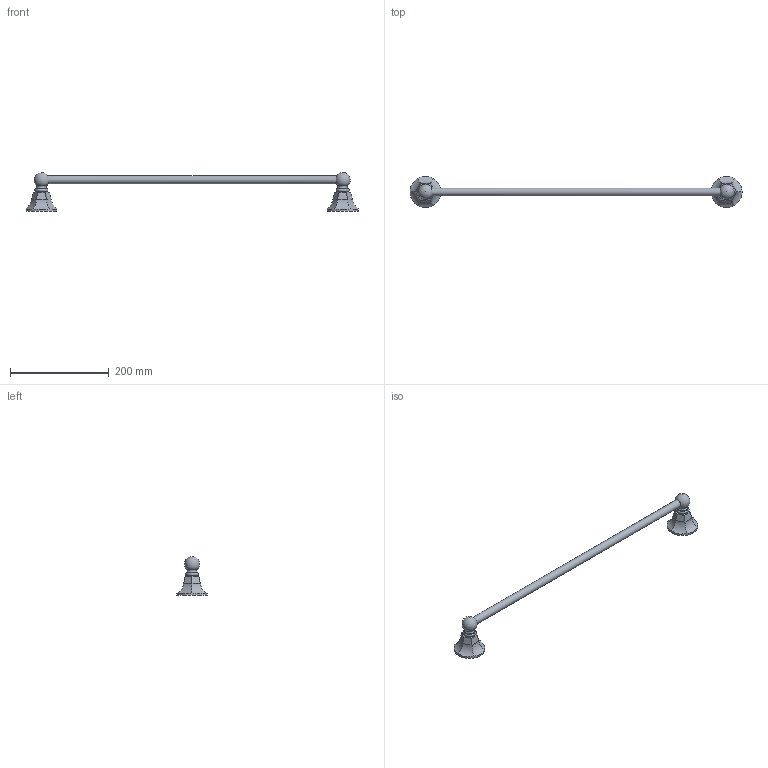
import cadquery as cq
import math

post_spacing = 609.6
overall_height = 78.89

bar_diameter = 15.875
bar_center_z = 64.2

ball_radius = 15.3
ball_center_z = overall_height - ball_radius

hex_sides = 6
side_angle = 360 / hex_sides
base_radius = 31.24
rim_height = 3.3
shoulder_height = 24.8
bell_height = 39.0
shoulder_apothem = 17.1
bell_top_apothem = 13.9
flare_mid_apothem = 20.4
flare_mid_height = 13.6

collar_root_radius = 11.4
collar_radius = 13.2
collar_bottom_z = 40.6
collar_top_z = 45.6
bead_radius = 10.9
neck_bottom_z = 47.2
neck_end_radius = 10.5
neck_waist_radius = 9.3
neck_top_z = 52.4


def bell_wedge():
    """One sixth of the bell, with its flat facing +X, as an extruded side profile."""
    corner_ratio = math.tan(math.pi / hex_sides)
    corner_radius = base_radius / math.cos(math.pi / hex_sides)
    profile = (
        cq.Workplane("XZ")
        .moveTo(0, 0)
        .lineTo(base_radius, 0)
        .lineTo(base_radius, rim_height)
        .threePointArc((flare_mid_apothem, flare_mid_height), (shoulder_apothem, shoulder_height))
        .lineTo(bell_top_apothem, bell_height)
        .lineTo(0, bell_height)
        .close()
        .extrude(corner_radius, both=True)
    )
    sector = (
        cq.Workplane("XY")
        .polyline([
            (0, 0),
            (base_radius, -base_radius * corner_ratio),
            (base_radius, base_radius * corner_ratio),
        ])
        .close()
        .extrude(bell_height)
    )
    return profile.intersect(sector)


def hexagonal_bell():
    """Flared hexagonal bell, trimmed at its foot to a round outline."""
    wedge = bell_wedge()
    bell = wedge
    for side in range(1, hex_sides):
        bell = bell.union(wedge.rotate((0, 0, 0), (0, 0, 1), side * side_angle))
    round_trim = cq.Workplane("XY").circle(base_radius).extrude(bell_height)
    return bell.rotate((0, 0, 0), (0, 0, 1), side_angle / 2).intersect(round_trim)


def turned_neck():
    """Rounded collar, bead and waisted neck, turned about the post axis."""
    return (
        cq.Workplane("XZ")
        .moveTo(0, shoulder_height)
        .lineTo(collar_root_radius, shoulder_height)
        .lineTo(collar_root_radius, collar_bottom_z)
        .threePointArc(
            (collar_radius, (collar_bottom_z + collar_top_z) / 2),
            (collar_root_radius, collar_top_z),
        )
        .lineTo(bead_radius, collar_top_z)
        .lineTo(bead_radius, neck_bottom_z)
        .lineTo(neck_end_radius, neck_bottom_z)
        .threePointArc(
            (neck_waist_radius, (neck_bottom_z + neck_top_z) / 2),
            (neck_end_radius, neck_top_z),
        )
        .lineTo(0, neck_top_z)
        .close()
        .revolve(360, (0, 0, 0), (0, 1, 0))
    )


def post():
    """Complete post standing on the origin."""
    ball = cq.Workplane("XY").sphere(ball_radius).translate((0, 0, ball_center_z))
    return hexagonal_bell().union(turned_neck()).union(ball)


def bar():
    """Round bar running from one post axis to the other."""
    return (
        cq.Workplane("YZ", origin=(-post_spacing / 2, 0, bar_center_z))
        .circle(bar_diameter / 2)
        .extrude(post_spacing)
    )


result = bar()
single_post = post()
for end in (-1, 1):
    result = result.union(single_post.translate((end * post_spacing / 2, 0, 0)))